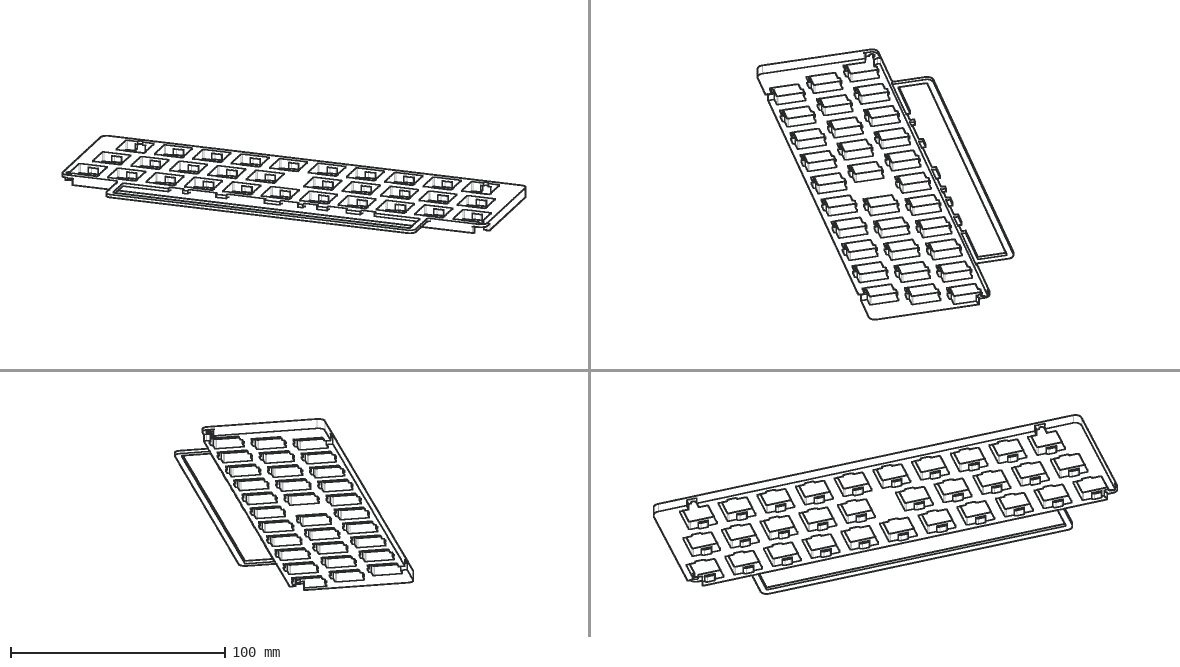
import cadquery as cq

KEY_PITCH = 19.05
KEY_HOLE = 14.0
KEY_HOLE_RADIUS = 0.5
ROW_COUNT = 3
WIDEST_ROW_KEYS = 11
SPACE_BAR_UNITS = 8

CELL_MARGIN = 0.575
EDGE_WALL = CELL_MARGIN + (KEY_PITCH - KEY_HOLE) / 2

TOTAL_HEIGHT = 4.75
PLATE_THICKNESS = 1.5
FRAME_HEIGHT = TOTAL_HEIGHT - PLATE_THICKNESS

BODY_WIDTH = WIDEST_ROW_KEYS * KEY_PITCH + 2 * CELL_MARGIN
BODY_DEPTH = ROW_COUNT * KEY_PITCH + 2 * CELL_MARGIN
PLATE_DEPTH = BODY_DEPTH + KEY_PITCH
SPACE_BAR_WIDTH = SPACE_BAR_UNITS * KEY_PITCH + 2 * CELL_MARGIN
OUTER_RADIUS = EDGE_WALL
INNER_RADIUS = 1.25

BACK_ROW_KEYS = WIDEST_ROW_KEYS - 1
MIDDLE_HALF_KEYS = 5
MIDDLE_FIRST_KEY = 0.75
BACK_ROW = [column - (BACK_ROW_KEYS - 1) / 2 for column in range(BACK_ROW_KEYS)]
MIDDLE_ROW = [side * (MIDDLE_FIRST_KEY + column) for side in (-1, 1) for column in range(MIDDLE_HALF_KEYS)]
FRONT_ROW = [column - (WIDEST_ROW_KEYS - 1) / 2 for column in range(WIDEST_ROW_KEYS)]
KEY_ROWS = (BACK_ROW, MIDDLE_ROW, FRONT_ROW)

CLIP_WIDTH = 5.0
CLIP_DEPTH = 1.0
CLIP_RADIUS = CLIP_DEPTH

SCREW_DIAMETER = 2.5
SCREW_CLEARANCE_RADIUS = 3.25
CLEARANCE_EDGE_RADIUS = 0.75
CLEARANCE_REACH = SCREW_CLEARANCE_RADIUS + CLEARANCE_EDGE_RADIUS

LIP_NOTCHES = [
    (-51.1, -44.1),
    (-41.6, -27.6),
    (-22.5, -3.5),
    (4.1, 13.1),
    (15.55, 22.55),
    (27.6, 37.1),
    (44.1, 51.1),
]
LIP_NOTCH_RADIUS = 0.5


def row_y(row):
    return -CELL_MARGIN - (row + 0.5) * KEY_PITCH


def key_centres():
    return [(column * KEY_PITCH, row_y(row)) for row, columns in enumerate(KEY_ROWS) for column in columns]


def back_screw_centres():
    return [(side * BACK_ROW[-1] * KEY_PITCH, -EDGE_WALL) for side in (-1, 1)]


def front_screw_centres():
    return [(side * (BODY_WIDTH / 2 - EDGE_WALL), -BODY_DEPTH + EDGE_WALL) for side in (-1, 1)]


def block(width, back, front, bottom, height):
    """A box centred on X, between two Y positions."""
    return (
        cq.Workplane("XY", origin=(0, (back + front) / 2, bottom))
        .rect(width, back - front)
        .extrude(height)
    )


def around(x, y, reach):
    """Selects what lies within a square column around an upright line."""
    return cq.selectors.BoxSelector((x - reach, y - reach, 0), (x + reach, y + reach, TOTAL_HEIGHT))


def make_plate():
    body = block(BODY_WIDTH, 0, -BODY_DEPTH, FRAME_HEIGHT, PLATE_THICKNESS)
    body = body.edges("|Z").fillet(OUTER_RADIUS)
    surround = block(SPACE_BAR_WIDTH, -BODY_DEPTH / 2, -PLATE_DEPTH, FRAME_HEIGHT, PLATE_THICKNESS)
    surround = surround.edges("|Z and <Y").fillet(OUTER_RADIUS)
    plate = body.union(surround)
    for side in (-1, 1):
        inner_corner = around(side * SPACE_BAR_WIDTH / 2, -BODY_DEPTH, INNER_RADIUS)
        plate = plate.edges("|Z").edges(inner_corner).fillet(INNER_RADIUS)
    return plate


def make_frame():
    frame = block(BODY_WIDTH, 0, -BODY_DEPTH, 0, FRAME_HEIGHT).edges("|Z").fillet(OUTER_RADIUS)
    frame = frame.cut(front_corner_clearances())
    for x, y in front_screw_centres():
        frame = frame.edges("|Z").edges(around(x, y, CLEARANCE_REACH)).fillet(CLEARANCE_EDGE_RADIUS)
    return frame.cut(back_slots())


def front_corner_clearances():
    return (
        cq.Workplane("XY")
        .pushPoints(front_screw_centres())
        .circle(SCREW_CLEARANCE_RADIUS)
        .extrude(FRAME_HEIGHT)
    )


def back_slots():
    """Slots as wide as a clip recess, from the outer keys of the back row out through the back edge."""
    slot_length = -row_y(0)
    return (
        cq.Workplane("XY")
        .pushPoints([(x, -slot_length / 2) for x, _ in back_screw_centres()])
        .rect(CLIP_WIDTH, slot_length)
        .extrude(FRAME_HEIGHT)
    )


def key_holes():
    return (
        cq.Workplane("XY")
        .pushPoints(key_centres())
        .rect(KEY_HOLE, KEY_HOLE)
        .extrude(TOTAL_HEIGHT)
        .edges("|Z")
        .fillet(KEY_HOLE_RADIUS)
    )


def clip_recesses():
    return (
        cq.Workplane("XY")
        .pushPoints(key_centres())
        .rect(CLIP_WIDTH, KEY_HOLE + 2 * CLIP_DEPTH)
        .extrude(FRAME_HEIGHT)
        .edges("|Z")
        .fillet(CLIP_RADIUS)
    )


def screw_holes():
    centres = back_screw_centres() + front_screw_centres()
    return cq.Workplane("XY").pushPoints(centres).circle(SCREW_DIAMETER / 2).extrude(TOTAL_HEIGHT)


def space_bar_opening():
    front = -PLATE_DEPTH + EDGE_WALL
    back = front + KEY_HOLE
    opening = block(SPACE_BAR_WIDTH - 2 * EDGE_WALL, back, front, FRAME_HEIGHT, PLATE_THICKNESS)
    opening = opening.edges("|Z").fillet(KEY_HOLE_RADIUS)
    for left, right in LIP_NOTCHES:
        notch = block(right - left, -BODY_DEPTH, back - KEY_HOLE / 2, FRAME_HEIGHT, PLATE_THICKNESS)
        notch = notch.edges("|Z and >Y").fillet(LIP_NOTCH_RADIUS)
        opening = opening.union(notch.translate(((left + right) / 2, 0, 0)))
    return opening


frame = make_frame().cut(clip_recesses())
plate = make_plate().cut(screw_holes()).cut(space_bar_opening())
result = plate.union(frame).cut(key_holes())